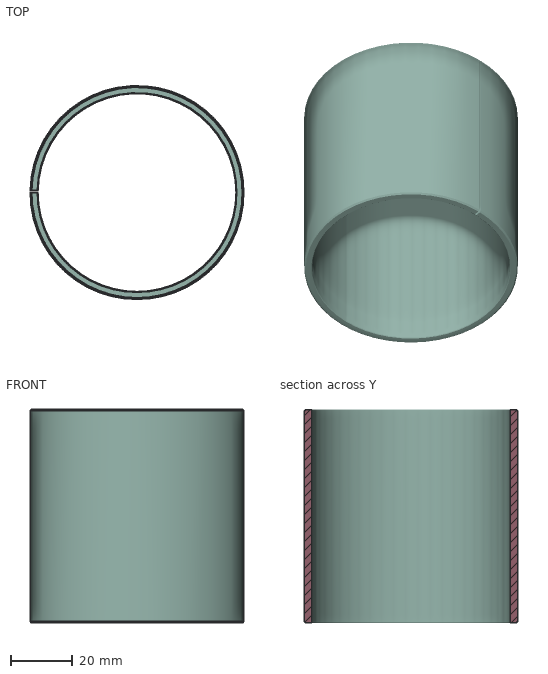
import cadquery as cq

outer_diameter = 70.0
length = 70.0
wall = 2.5
outer_chamfer = 0.5
inner_chamfer = 0.2
split_width = 0.6

outer_radius = outer_diameter / 2
inner_radius = outer_radius - wall
half_length = length / 2


def bush_body():
    """Revolve the wall section, with both rims chamfered inside and out."""
    section = (
        cq.Workplane("XZ")
        .moveTo(inner_radius + inner_chamfer, -half_length)
        .lineTo(outer_radius - outer_chamfer, -half_length)
        .lineTo(outer_radius, -half_length + outer_chamfer)
        .lineTo(outer_radius, half_length - outer_chamfer)
        .lineTo(outer_radius - outer_chamfer, half_length)
        .lineTo(inner_radius + inner_chamfer, half_length)
        .lineTo(inner_radius, half_length - inner_chamfer)
        .lineTo(inner_radius, -half_length + inner_chamfer)
        .close()
    )
    return section.revolve(360, (0, 0, 0), (0, 1, 0))


def split_cutter():
    """Thin slab that opens the -X side of the wall, with one face on the XZ plane."""
    slab = cq.Workplane("XY").box(outer_radius, split_width, length)
    return slab.translate((-outer_radius, split_width / 2, 0))


result = bush_body().cut(split_cutter())